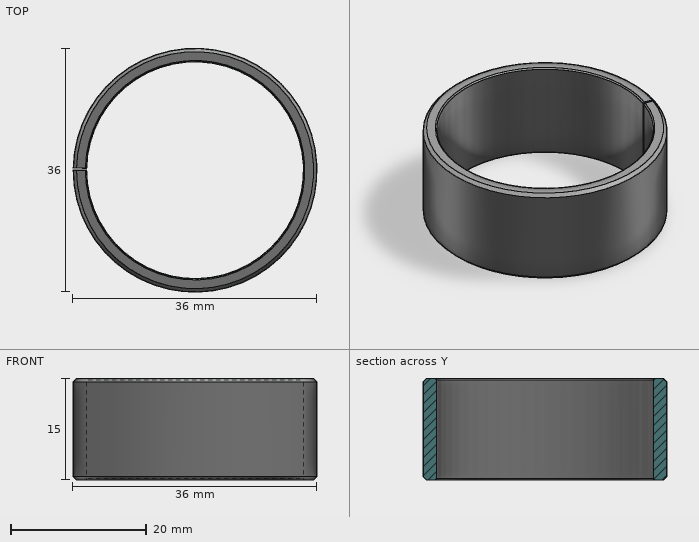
import cadquery as cq

outer_diameter = 36.0
inner_diameter = 32.0
height = 15.0
outer_chamfer = 0.5
inner_chamfer = 0.2
gap_angle = 1.0

outer_radius = outer_diameter / 2
inner_radius = inner_diameter / 2


def wall_section():
    """Wall section on the -X side, chamfered at all four corners."""
    points = [
        (-inner_radius, inner_chamfer),
        (-inner_radius - inner_chamfer, 0),
        (-outer_radius + outer_chamfer, 0),
        (-outer_radius, outer_chamfer),
        (-outer_radius, height - outer_chamfer),
        (-outer_radius + outer_chamfer, height),
        (-inner_radius - inner_chamfer, height),
        (-inner_radius, height - inner_chamfer),
    ]
    return cq.Workplane("XZ").polyline(points).close()


result = wall_section().revolve(360 - gap_angle, (0, 0), (0, 1))